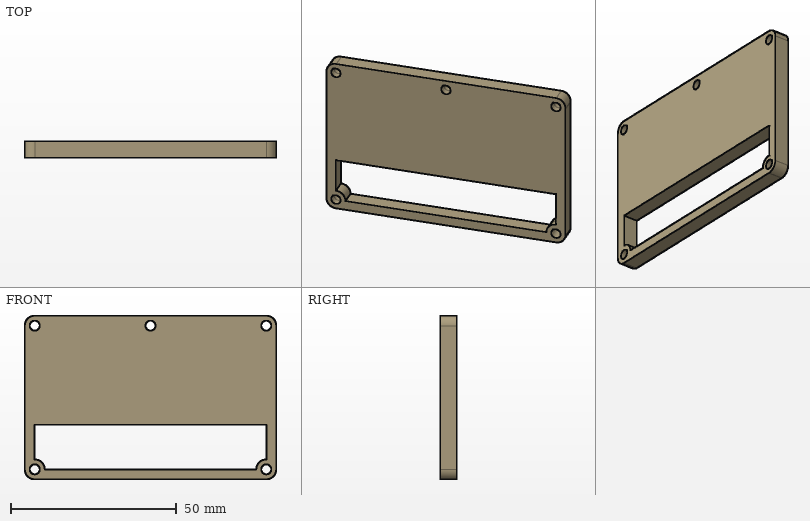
import cadquery as cq

width = 76.0
thickness = 5.0
height = 49.5
rim = 3.05
hole_diameter = 3.0
window_top = 16.5

hole_x = width / 2 - rim
hole_z = height / 2 - rim
window_width = width - 2 * rim
window_height = window_top - rim
window_center_z = -height / 2 + rim + window_height / 2


def along_thickness(diameter, points):
    """Cylinders through the full thickness at the given (x, z) points."""
    return cq.Workplane("XZ").pushPoints(points).circle(diameter / 2).extrude(thickness / 2, both=True)


lower_corners = [(-hole_x, -hole_z), (hole_x, -hole_z)]
upper_holes = [(-hole_x, hole_z), (0, hole_z), (hole_x, hole_z)]

plate = cq.Workplane("XY").box(width, thickness, height).edges("|Y").fillet(rim)

window = cq.Workplane("XY").box(window_width, thickness, window_height)
window = window.translate((0, 0, window_center_z))
window = window.cut(along_thickness(2 * rim, lower_corners))

holes = along_thickness(hole_diameter, lower_corners + upper_holes)

result = plate.cut(window).cut(holes)